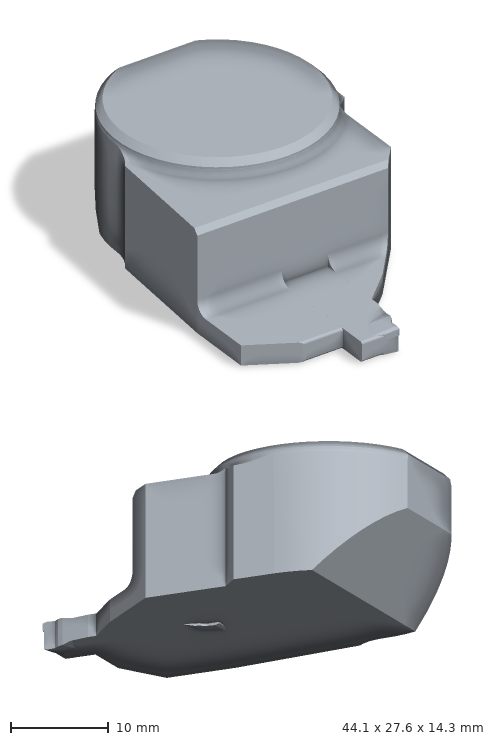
import cadquery as cq
import math


TOTAL_HEIGHT = 14.0
SHOULDER_HEIGHT = 12.2
PLATE_THICKNESS = 2.4

BOSS_RADIUS = 12.5
BODY_RADIUS = 12.55
BOSS_CHAMFER = 0.75
BOSS_ROOT_RADIUS = 0.8
LEFT_FLAT_X = -11.5
UNDERCUT_SIZE = 7.5

EAR_END_X = 4.65
SHOULDER_Y = 10.8
SHOULDER_END_X = 15.55
PLATE_KNEE = (22.5, 4.95)
PLATE_TIP_X = 25.9
PLATE_END_X = 29.05
PLATE_FRONT_Y = -15.0
END_BEVEL_TOP_Y = -9.4
NECK_RADIUS = 5.0
NECK_SWEEP = math.radians(40)

STEP_X = 18.05
STEP_CHAMFER = 0.6
STEP_ROOT_RADIUS = 1.5

INSERT_BACK_Y = 1.25
INSERT_FRONT_Y = -4.5
INSERT_CENTRE_X = 22.55
INSERT_END_X = 32.46
INSERT_TIP_X = 32.6
EDGE_ROUND = 0.3

TAPER_START_X = 26.85
TIP_BACK_Y = 0.05
TIP_FRONT_Y = -2.6
HEAD_BACK = (28.9, 0.88)
HEAD_RIDGE = (30.0, 0.7)
HEAD_SHOULDER = (30.6, 0.5)
HEAD_NECK = (31.2, TIP_BACK_Y)
HEAD_HEEL = (29.75, -1.86)
HEAD_FRONT = (32.05, -3.0)
LAND_FOOT_FRONT = (31.95, -2.95)
LAND_FOOT_BACK = (33.2, TIP_BACK_Y)
LAND_SLOPE = 0.3
RAKE_SLOPE = 0.107
REAR_SLOPE = 0.24
TIP_DEPTH = 0.65

BIG = 60.0


def housing_blank():
    neck_end = (
        NECK_RADIUS * math.sin(NECK_SWEEP),
        -BODY_RADIUS - NECK_RADIUS * (1 - math.cos(NECK_SWEEP)),
    )
    neck_middle = (
        NECK_RADIUS * math.sin(NECK_SWEEP / 2),
        -BODY_RADIUS - NECK_RADIUS * (1 - math.cos(NECK_SWEEP / 2)),
    )
    ear_drop = BODY_RADIUS - SHOULDER_Y
    outline = (
        cq.Workplane("XY")
        .moveTo(0, BODY_RADIUS)
        .lineTo(EAR_END_X, BODY_RADIUS)
        .lineTo(EAR_END_X + ear_drop, SHOULDER_Y)
        .lineTo(SHOULDER_END_X, SHOULDER_Y)
        .lineTo(*PLATE_KNEE)
        .lineTo(PLATE_TIP_X, INSERT_BACK_Y)
        .lineTo(PLATE_END_X, INSERT_FRONT_Y)
        .lineTo(PLATE_END_X, END_BEVEL_TOP_Y)
        .lineTo(PLATE_TIP_X, PLATE_FRONT_Y)
        .lineTo(STEP_X, PLATE_FRONT_Y)
        .lineTo(*neck_end)
        .threePointArc(neck_middle, (0, -BODY_RADIUS))
        .threePointArc((-BODY_RADIUS, 0), (0, BODY_RADIUS))
        .close()
    )
    return outline.extrude(TOTAL_HEIGHT)


def boss_cutter():
    """Ring that clears everything around the boss down to the shoulder, with a round root."""
    root_z = SHOULDER_HEIGHT + BOSS_ROOT_RADIUS
    root_sag = BOSS_ROOT_RADIUS * (1 - math.sqrt(0.5))
    return (
        cq.Workplane("XZ")
        .moveTo(BOSS_RADIUS - BOSS_CHAMFER, TOTAL_HEIGHT)
        .lineTo(BOSS_RADIUS, TOTAL_HEIGHT - BOSS_CHAMFER)
        .lineTo(BOSS_RADIUS, root_z)
        .threePointArc(
            (BOSS_RADIUS + root_sag, SHOULDER_HEIGHT + root_sag),
            (BOSS_RADIUS + BOSS_ROOT_RADIUS, SHOULDER_HEIGHT),
        )
        .lineTo(BIG, SHOULDER_HEIGHT)
        .lineTo(BIG, TOTAL_HEIGHT)
        .close()
        .revolve(360, (0, 0, 0), (0, 1, 0))
    )


def left_side_cutter():
    """Flat on the left side, bevelled at the top and undercut at the bottom."""
    return (
        cq.Workplane("XZ")
        .moveTo(LEFT_FLAT_X + UNDERCUT_SIZE, 0)
        .lineTo(LEFT_FLAT_X, UNDERCUT_SIZE)
        .lineTo(LEFT_FLAT_X, TOTAL_HEIGHT - BOSS_CHAMFER)
        .lineTo(LEFT_FLAT_X + BOSS_CHAMFER, TOTAL_HEIGHT)
        .lineTo(-BIG, TOTAL_HEIGHT)
        .lineTo(-BIG, 0)
        .close()
        .extrude(BIG, both=True)
    )


def step_cutter():
    """Space above the plate, with a round root and a bevel on the block's top edge."""
    root_sag = STEP_ROOT_RADIUS * (1 - math.sqrt(0.5))
    return (
        cq.Workplane("XZ")
        .moveTo(STEP_X - STEP_CHAMFER, SHOULDER_HEIGHT)
        .lineTo(STEP_X, SHOULDER_HEIGHT - STEP_CHAMFER)
        .lineTo(STEP_X, PLATE_THICKNESS + STEP_ROOT_RADIUS)
        .threePointArc(
            (STEP_X + root_sag, PLATE_THICKNESS + root_sag),
            (STEP_X + STEP_ROOT_RADIUS, PLATE_THICKNESS),
        )
        .lineTo(BIG, PLATE_THICKNESS)
        .lineTo(BIG, SHOULDER_HEIGHT)
        .close()
        .extrude(BIG, both=True)
    )


def insert_slot():
    """Slot through the plate that ends at the block's face."""
    return cq.Workplane("XY").box(
        BIG, INSERT_BACK_Y - INSERT_FRONT_Y, BIG, centered=(False, False, True)
    ).translate((STEP_X, INSERT_FRONT_Y, 0))


def ramp(start, end, slope):
    """Wedge that rises from the line start-end towards the line's left side."""
    along = cq.Vector(end[0] - start[0], end[1] - start[1], 0).normalized()
    across = cq.Vector(-along.y, along.x, 0)
    plane = cq.Plane(origin=(start[0], start[1], PLATE_THICKNESS), xDir=across, normal=along)
    rise = slope * BIG
    return (
        cq.Workplane(plane)
        .polyline([(0, 0), (BIG, rise), (BIG, -BIG), (0, -BIG)])
        .close()
        .extrude(BIG, both=True)
    )


def cutting_head(tip_x):
    """Raised chip former on the right end's top face, reaching out to tip_x."""
    outline = [
        HEAD_BACK,
        HEAD_HEEL,
        HEAD_FRONT,
        (INSERT_END_X, TIP_FRONT_Y),
        (tip_x, TIP_BACK_Y),
        HEAD_NECK,
        HEAD_SHOULDER,
        HEAD_RIDGE,
    ]
    return (
        cq.Workplane("XY")
        .workplane(offset=PLATE_THICKNESS - TIP_DEPTH)
        .polyline(outline)
        .close()
        .extrude(2 * TIP_DEPTH)
        .intersect(ramp(HEAD_HEEL, HEAD_FRONT, RAKE_SLOPE))
        .intersect(ramp(HEAD_BACK, HEAD_HEEL, REAR_SLOPE))
        .intersect(ramp(LAND_FOOT_FRONT, LAND_FOOT_BACK, LAND_SLOPE))
    )


def insert_half():
    """Right half of the insert with its cutting head."""
    bar = (
        cq.Workplane("XY")
        .moveTo(INSERT_CENTRE_X, INSERT_FRONT_Y)
        .lineTo(INSERT_END_X, INSERT_FRONT_Y)
        .lineTo(INSERT_END_X, TIP_BACK_Y)
        .lineTo(*HEAD_NECK)
        .lineTo(*HEAD_SHOULDER)
        .lineTo(*HEAD_RIDGE)
        .lineTo(TAPER_START_X, INSERT_BACK_Y)
        .lineTo(INSERT_CENTRE_X, INSERT_BACK_Y)
        .close()
        .extrude(PLATE_THICKNESS)
        .faces(">X")
        .edges("|Y")
        .fillet(EDGE_ROUND)
    )
    middle = (0, 0, PLATE_THICKNESS / 2)
    lower_head = cutting_head(INSERT_END_X).mirror("XY", middle)
    return bar.union(cutting_head(INSERT_TIP_X)).union(lower_head)


def make_insert():
    """Both halves: the left one is the right one turned half a turn about a Y axis."""
    right_half = insert_half()
    turn_start = (INSERT_CENTRE_X, 0, PLATE_THICKNESS / 2)
    turn_end = (INSERT_CENTRE_X, 1, PLATE_THICKNESS / 2)
    return right_half.union(right_half.rotate(turn_start, turn_end, 180)).clean()


def make_housing(insert):
    body = (
        housing_blank()
        .cut(boss_cutter())
        .cut(left_side_cutter())
        .cut(step_cutter())
        .cut(insert_slot())
        .faces(">X")
        .edges("|Y")
        .fillet(EDGE_ROUND)
    )
    return body.cut(insert)


insert = make_insert()
housing = make_housing(insert)
result = cq.Compound.makeCompound([housing.val(), insert.val()])